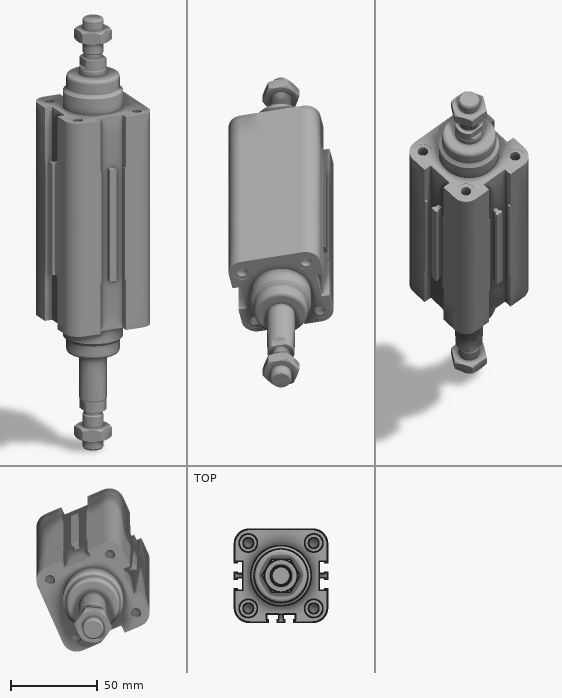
import cadquery as cq
import math

rod_length = 263.0
body_side = 54.0
body_corner_radius = 8.7
body_bottom = 79.0
cap_height = 31.0
barrel_length = 68.0
barrel_bottom = body_bottom + cap_height
barrel_top = barrel_bottom + barrel_length

rod_diameter = 16.0
neck_diameter = 15.5
undercut_diameter = 10.8
thread_diameter = 12.0
thread_tip_diameter = 10.5
wrench_flat_width = 13.0

thread_chamfer_end = 1.0
undercut_start = 21.3
neck_start = 24.0
wrench_flat_end = 30.0
neck_end = 30.2
rod_start = 31.0

nut_sides = 6
nut_across_flats = 19.0
nut_thickness = 7.0
nut_end_distance = 6.5
nut_chamfer_angle = 30.0

collar_base_diameter = 35.0
collar_diameter = 31.0
collar_base_height = 9.7
collar_height = 20.0
collar_edge_radius = 2.0
collar_step_height = (collar_base_diameter - collar_diameter) / 2

screw_offset = 19.0
screw_recess_diameter = 10.5
screw_recess_depth = 0.3
screw_hole_diameter = 6.0
screw_hole_depth = 8.0
drill_point_angle = 118.0

slot_width = 16.5
slot_depth = 4.7
slot_side_angles = (0, 90, -90)
lip_thickness = 1.5
slot_mouth_width = 15.0
rib_head_width = 4.2
rib_stem_width = 2.5


def square_block(height):
    """Square block with rounded upright edges, standing on Z = 0."""
    block = cq.Workplane("XY").rect(body_side, body_side).extrude(height)
    return block.edges("|Z").fillet(body_corner_radius)


def slot_bar(width, outer_depth, inner_depth, height):
    """Bar lying between two depths below the -Y side, used to cut or fill a slot."""
    return (
        cq.Workplane("XY")
        .center(0, -body_side / 2 + (outer_depth + inner_depth) / 2)
        .rect(width, inner_depth - outer_depth)
        .extrude(height)
    )


def cut_on_slotted_sides(block, cutter):
    """Repeat a cut made for the -Y side on every slotted side."""
    for angle in slot_side_angles:
        block = block.cut(cutter.rotate((0, 0, 0), (0, 0, 1), angle))
    return block


def rod_bore(height):
    """Hole for the rod along Z, starting at Z = 0."""
    return cq.Workplane("XY").circle(rod_diameter / 2).extrude(height)


def make_collar():
    """Stepped collar with a rounded rim and a conical step."""
    base_radius = collar_base_diameter / 2
    upper_radius = collar_diameter / 2
    return (
        cq.Workplane("XZ")
        .lineTo(base_radius, 0)
        .lineTo(base_radius, collar_base_height)
        .lineTo(upper_radius, collar_base_height + collar_step_height)
        .lineTo(upper_radius, collar_height - collar_edge_radius)
        .radiusArc((upper_radius - collar_edge_radius, collar_height), -collar_edge_radius)
        .lineTo(0, collar_height)
        .close()
        .revolve(360, (0, 0, 0), (0, 1, 0))
    )


def make_screw_recess():
    """Shallow recess with a drilled hole in its floor; Z = 0 is the outer face of the cap."""
    recess_radius = screw_recess_diameter / 2
    hole_radius = screw_hole_diameter / 2
    point_length = hole_radius / math.tan(math.radians(drill_point_angle / 2))
    return (
        cq.Workplane("XZ")
        .lineTo(recess_radius, 0)
        .lineTo(recess_radius, -screw_recess_depth)
        .lineTo(hole_radius, -screw_recess_depth)
        .lineTo(hole_radius, -screw_hole_depth)
        .lineTo(0, -screw_hole_depth - point_length)
        .close()
        .revolve(360, (0, 0, 0), (0, 1, 0))
    )


def make_end_cap():
    """End cap standing on Z = 0 with its collar pointing up."""
    cap = square_block(cap_height)
    cap = cap.union(make_collar().translate((0, 0, cap_height)))
    cap = cut_on_slotted_sides(cap, slot_bar(slot_width, 0, slot_depth, cap_height))
    for x in (-screw_offset, screw_offset):
        for y in (-screw_offset, screw_offset):
            cap = cap.cut(make_screw_recess().translate((x, y, cap_height)))
    return cap.cut(rod_bore(cap_height + collar_height))


def make_barrel():
    """Barrel whose slots have lips at the mouth and a T-shaped rib along the middle."""
    slot = slot_bar(slot_mouth_width, 0, lip_thickness, barrel_length)
    slot = slot.union(slot_bar(slot_width, lip_thickness, slot_depth, barrel_length))
    slot = slot.cut(slot_bar(rib_head_width, 0, lip_thickness, barrel_length))
    slot = slot.cut(slot_bar(rib_stem_width, lip_thickness, slot_depth, barrel_length))
    barrel = cut_on_slotted_sides(square_block(barrel_length), slot)
    return barrel.cut(rod_bore(barrel_length))


def make_wrench_flat_cutter():
    """Prism on the +Y side of the neck that leaves a flat with a 45 degree run-out."""
    flat_offset = wrench_flat_width / 2
    outer_offset = neck_diameter / 2
    runout_height = outer_offset - flat_offset
    return (
        cq.Workplane("YZ")
        .moveTo(flat_offset, neck_start)
        .lineTo(outer_offset, neck_start)
        .lineTo(outer_offset, wrench_flat_end)
        .lineTo(flat_offset, wrench_flat_end - runout_height)
        .close()
        .extrude(outer_offset, both=True)
    )


def make_half_rod():
    """Lower half of the rod: threaded end, undercut, neck with two flats, and shank."""
    thread_radius = thread_diameter / 2
    undercut_radius = undercut_diameter / 2
    undercut_depth = thread_radius - undercut_radius
    neck_radius = neck_diameter / 2
    rod_radius = rod_diameter / 2
    half_rod = (
        cq.Workplane("XZ")
        .lineTo(thread_tip_diameter / 2, 0)
        .lineTo(thread_radius, thread_chamfer_end)
        .lineTo(thread_radius, undercut_start - undercut_depth)
        .lineTo(undercut_radius, undercut_start)
        .lineTo(undercut_radius, neck_start)
        .lineTo(neck_radius, neck_start)
        .lineTo(neck_radius, neck_end)
        .lineTo(rod_radius, rod_start)
        .lineTo(rod_radius, rod_length / 2)
        .lineTo(0, rod_length / 2)
        .close()
        .revolve(360, (0, 0, 0), (0, 1, 0))
    )
    for angle in (0, 180):
        half_rod = half_rod.cut(make_wrench_flat_cutter().rotate((0, 0, 0), (0, 0, 1), angle))
    return half_rod


def mirror_to_upper_end(half):
    """Mirror the lower half of the rod onto the upper half."""
    return half.mirror("XY", (0, 0, rod_length / 2))


def make_rod():
    half_rod = make_half_rod()
    return half_rod.union(mirror_to_upper_end(half_rod)).clean()


def make_nut():
    """Hexagon nut with conical corner chamfers, flats facing -Y and +Y, standing on Z = 0."""
    flat_radius = nut_across_flats / 2
    corner_radius = flat_radius / math.cos(math.pi / nut_sides)
    chamfer_height = (corner_radius - flat_radius) * math.tan(math.radians(nut_chamfer_angle))
    hexagon = cq.Workplane("XY").polygon(nut_sides, 2 * corner_radius).extrude(nut_thickness)
    chamfer_envelope = (
        cq.Workplane("XZ")
        .lineTo(flat_radius, 0)
        .lineTo(corner_radius, chamfer_height)
        .lineTo(corner_radius, nut_thickness - chamfer_height)
        .lineTo(flat_radius, nut_thickness)
        .lineTo(0, nut_thickness)
        .close()
        .revolve(360, (0, 0, 0), (0, 1, 0))
    )
    thread_bore = cq.Workplane("XY").circle(thread_diameter / 2).extrude(nut_thickness)
    return hexagon.intersect(chamfer_envelope).cut(thread_bore)


piston_rod = make_rod()
barrel = make_barrel().translate((0, 0, barrel_bottom))

upper_cap = make_end_cap().translate((0, 0, barrel_top))
lower_cap = make_end_cap().mirror("XY").translate((0, 0, barrel_bottom))
end_caps = [lower_cap, upper_cap]

lock_nuts = []
for nut_bottom in (nut_end_distance, rod_length - nut_end_distance - nut_thickness):
    lock_nuts.append(make_nut().translate((0, 0, nut_bottom)))

bodies = [piston_rod, barrel, *end_caps, *lock_nuts]
result = cq.Compound.makeCompound([body.solids().val() for body in bodies])